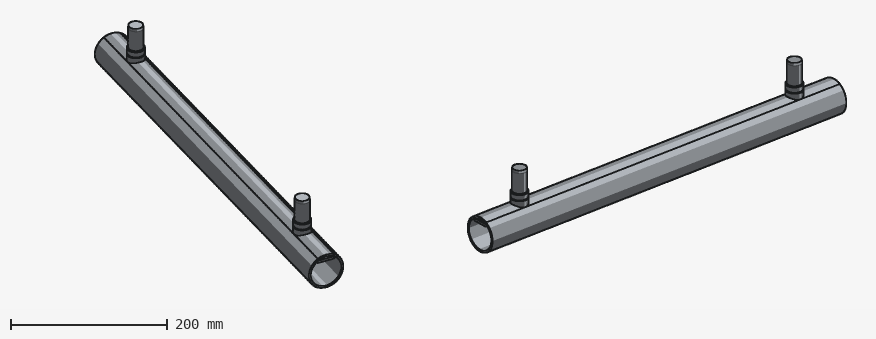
import cadquery as cq

length = 592.0
outer_radius = 25.0
wall = 3.0
inner_radius = outer_radius - wall

rail_width = 23.5
plate_top = 19.0
plate_thickness = 3.5

stud_spacing = 460.0
stud_top = 74.5
shank_radius = 10.0
shank_chamfer_height = 3.5
shank_chamfer_depth = 0.5
collar_radius = rail_width / 2
collar_top = 41.5
collar_chamfer = 1.0
groove_height = 32.0
groove_width = 1.0
groove_depth = 0.5


def rod(radius):
    """Solid cylinder along X, centred on the tube axis."""
    return cq.Workplane("YZ").circle(radius).extrude(length / 2, both=True)


def bar(bottom, top):
    """Rectangular bar of the rail width, along the tube, between two heights."""
    return cq.Workplane("XY").workplane(offset=bottom).rect(length, rail_width).extrude(top - bottom)


def make_tube():
    """Tube wall with the rail's slot cut through its top."""
    return rod(outer_radius).cut(rod(inner_radius)).cut(bar(0, outer_radius))


def make_stud(x):
    """Stepped round stud: grooved collar, then a shank with a tapered tip."""
    profile = [
        (0, plate_top),
        (collar_radius, plate_top),
        (collar_radius, groove_height - groove_width / 2),
        (collar_radius - groove_depth, groove_height - groove_width / 2),
        (collar_radius - groove_depth, groove_height + groove_width / 2),
        (collar_radius, groove_height + groove_width / 2),
        (collar_radius, collar_top - collar_chamfer),
        (collar_radius - collar_chamfer, collar_top),
        (shank_radius, collar_top),
        (shank_radius, stud_top - shank_chamfer_height),
        (shank_radius - shank_chamfer_depth, stud_top),
        (0, stud_top),
    ]
    stud = cq.Workplane("XZ").polyline(profile).close().revolve(360, (0, 0, 0), (0, 1, 0))
    return stud.translate((x, 0, 0))


def make_rail():
    """Hollow rail with its studs, flush with the outside of the tube."""
    rail = bar(plate_top - plate_thickness, outer_radius).intersect(rod(outer_radius))
    hollow = bar(plate_top, outer_radius).intersect(rod(inner_radius))
    for x in (-stud_spacing / 2, stud_spacing / 2):
        rail = rail.union(make_stud(x))
    return rail.cut(hollow)


tube = make_tube().solids()
rail = make_rail().solids()

result = cq.Compound.makeCompound([tube.val(), rail.val()])